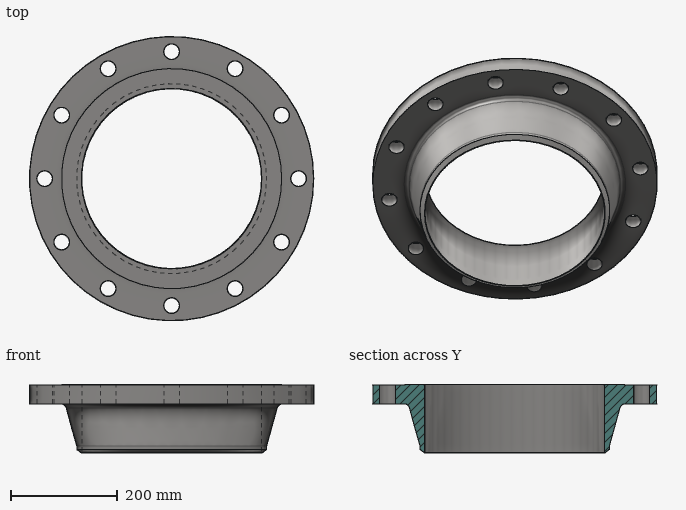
import cadquery as cq

flange_diameter = 533.5
flange_thickness = 36.0

face_diameter = 413.0
face_height = 1.0

total_height = 128.5
bore_diameter = 337.0
neck_top_diameter = 400.0
neck_end_diameter = 356.5
neck_end_height = 13.0
root_fillet = 10.0
bevel_width = 8.5
bevel_height = 6.5

bolt_count = 12
bolt_circle_diameter = 476.5
bolt_hole_diameter = 29.0

flange_top = total_height - face_height
flange_bottom = flange_top - flange_thickness

match_tolerance = 0.05


def make_body():
    """Revolve the flange, raised face and tapered neck around Z."""
    bore_radius = bore_diameter / 2
    neck_end_radius = neck_end_diameter / 2
    profile = (
        cq.Workplane("XZ")
        .moveTo(bore_radius, 0)
        .lineTo(neck_end_radius - bevel_width, 0)
        .lineTo(neck_end_radius, bevel_height)
        .lineTo(neck_end_radius, neck_end_height)
        .lineTo(neck_top_diameter / 2, flange_bottom)
        .lineTo(flange_diameter / 2, flange_bottom)
        .lineTo(flange_diameter / 2, flange_top)
        .lineTo(face_diameter / 2, flange_top)
        .lineTo(face_diameter / 2, total_height)
        .lineTo(bore_radius, total_height)
        .close()
    )
    return profile.revolve(360, (0, 0, 0), (0, 1, 0))


def round_neck_root(body):
    """Fillet the corner where the neck meets the flange."""
    ring = body.faces("%PLANE").edges("%CIRCLE").filter(
        lambda edge: abs(edge.Center().z - flange_bottom) < match_tolerance
        and abs(edge.radius() - neck_top_diameter / 2) < match_tolerance
    )
    return body.newObject(ring.vals()).fillet(root_fillet)


def make_bolt_holes():
    """Cutters for the ring of bolt holes through the flange."""
    return (
        cq.Workplane("XY", origin=(0, 0, flange_bottom))
        .polarArray(bolt_circle_diameter / 2, 0, 360, bolt_count)
        .circle(bolt_hole_diameter / 2)
        .extrude(flange_thickness)
    )


result = round_neck_root(make_body()).cut(make_bolt_holes())